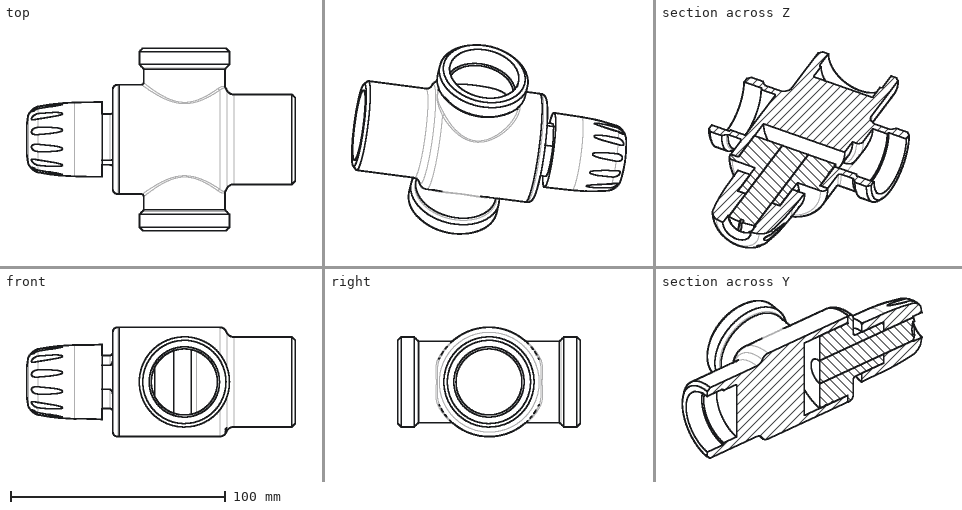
import cadquery as cq
import math


overall_length = 125.0

barrel_radius = 25.5
barrel_start_x = -30.4
shoulder_start_x = 16.4
shoulder_end_x = 22.9
pipe_radius = 21.0
pipe_chamfer = 1.6
outlet_end_x = 51.6

inlet_end_y = 42.5
inlet_neck_radius = 19.0
collar_inner_y = 34.9
collar_cone_y = 33.4
collar_root_y = 32.6
inlet_root_fillet = 0.94

socket_radius = 16.4
socket_depth = 9.1
passage_radius = 15.4
socket_step_depth = 0.4
chamber_radius = 21.2
chamber_end_x = -4.9
window_end_x = 3.1
window_round = 2.4

bonnet_face_x = -33.4
bonnet_round = 2.4
spigot_end_x = -13.8
neck_radius = 12.4
neck_root_fillet = 1.4
neck_end_x = -51.1
neck_flat_distance = 11.0
neck_flat_tilt = 11.0

knob_front_x = outlet_end_x - overall_length
knob_rear_x = -38.2
knob_radius = 17.5
knob_hole_radius = 7.2
knob_face_radius = 11.1
knob_face_x = -72.8
nose_mid_x = -71.0
nose_mid_radius = 13.6
nose_end_x = -68.1
nose_end_radius = 15.4
flank_mid_x = -60.0
flank_mid_radius = 16.6
flank_end_x = -51.1
flank_end_radius = 17.2

flute_count = 12
flute_radius = 2.0
flute_nose_x = -71.1
flute_nose_radius = 13.5
flute_tip_x = -55.9
flute_tip_radius = 17.1

spindle_radius = 6.6
spindle_rim_x = -68.6
spindle_dome = 0.6
rim_gap_depth = 0.6
slot_width = 1.4
slot_depth = 1.6
slot_disc_radius = 17.5
slot_tilt = 9.5


def x_cylinder(radius, start_x, end_x):
    """Cylinder on the main axis."""
    return cq.Workplane("YZ", origin=(start_x, 0, 0)).circle(radius).extrude(end_x - start_x)


def revolve_about_x(profile):
    """Revolve a closed (x, radius) profile about the main axis."""
    return profile.close().revolve(360, (0, 0, 0), (1, 0, 0))


def revolve_about_y(profile):
    """Revolve a closed (radius, y) profile about the inlet axis."""
    return profile.close().revolve(360, (0, 0, 0), (0, 1, 0))


def make_barrel():
    """Barrel, S-shaped shoulder and outlet pipe in one turned shape."""
    shoulder_mid_x = (shoulder_start_x + shoulder_end_x) / 2
    shoulder_mid_radius = (barrel_radius + pipe_radius) / 2
    return revolve_about_x(
        cq.Workplane("XY")
        .moveTo(barrel_start_x, 0)
        .lineTo(barrel_start_x, barrel_radius)
        .lineTo(shoulder_start_x, barrel_radius)
        .tangentArcPoint((shoulder_mid_x, shoulder_mid_radius), relative=False)
        .tangentArcPoint((shoulder_end_x, pipe_radius), relative=False)
        .lineTo(outlet_end_x - pipe_chamfer, pipe_radius)
        .lineTo(outlet_end_x, pipe_radius - pipe_chamfer)
        .lineTo(outlet_end_x, 0)
    )


def make_inlet():
    """Solid +Y inlet branch with its chamfered collar."""
    cone_radius = pipe_radius - (collar_inner_y - collar_cone_y)
    return revolve_about_y(
        cq.Workplane("XY")
        .lineTo(0, inlet_end_y)
        .lineTo(pipe_radius - pipe_chamfer, inlet_end_y)
        .lineTo(pipe_radius, inlet_end_y - pipe_chamfer)
        .lineTo(pipe_radius, collar_inner_y)
        .lineTo(cone_radius, collar_cone_y)
        .tangentArcPoint((inlet_neck_radius, collar_root_y), relative=False)
        .lineTo(inlet_neck_radius, 0)
    )


def make_socket(bottom_y):
    """Cutter for a +Y inlet: wide socket, short cone, narrower passage."""
    step_y = inlet_end_y - socket_depth
    return revolve_about_y(
        cq.Workplane("XY")
        .moveTo(0, bottom_y)
        .lineTo(passage_radius, bottom_y)
        .lineTo(passage_radius, step_y - socket_step_depth)
        .lineTo(socket_radius, step_y)
        .lineTo(socket_radius, inlet_end_y)
        .lineTo(0, inlet_end_y)
    )


def make_inlet_sockets():
    """Both inlet sockets; each ends on the cylinder of the barrel."""
    core = x_cylinder(barrel_radius, barrel_start_x, outlet_end_x)
    hot_socket = make_socket(0).cut(core)
    return hot_socket, hot_socket.mirror("XZ")


def make_outlet_socket():
    """Outlet socket, as deep as the inlet sockets are on their axis."""
    socket = make_socket(barrel_radius)
    return socket.rotate((0, 0, 0), (0, 0, 1), -90).translate((outlet_end_x - inlet_end_y, 0, 0))


def make_window():
    """Opening from the -Y inlet down to the chamber, rounded on its +X edge."""
    passage = cq.Workplane("XZ").circle(passage_radius).extrude(barrel_radius)
    round_end_x = window_end_x + window_round
    ring = revolve_about_x(
        cq.Workplane("XY")
        .moveTo(-socket_radius, chamber_radius)
        .lineTo(window_end_x, chamber_radius)
        .lineTo(window_end_x, barrel_radius - window_round)
        .tangentArcPoint((round_end_x, barrel_radius), relative=False)
        .lineTo(-socket_radius, barrel_radius)
    )
    return passage.intersect(ring)


def make_housing():
    inlet = make_inlet()
    inlets = inlet.union(inlet.mirror("XZ"))
    housing = make_barrel().union(inlets)
    root_box = cq.selectors.BoxSelector(
        (-pipe_radius, -barrel_radius, -pipe_radius),
        (pipe_radius, barrel_radius, pipe_radius),
        boundingbox=True,
    )
    housing = housing.edges(root_box).fillet(inlet_root_fillet)

    for socket in make_inlet_sockets():
        housing = housing.cut(socket)
    housing = housing.cut(make_outlet_socket())
    housing = housing.cut(x_cylinder(chamber_radius, barrel_start_x, chamber_end_x))
    return housing.cut(make_window())


def make_bonnet_blank():
    """Spigot, flange and neck of the bonnet, with the two wrench flats."""
    blank = revolve_about_x(
        cq.Workplane("XY")
        .moveTo(neck_end_x, 0)
        .lineTo(neck_end_x, neck_radius)
        .lineTo(bonnet_face_x - neck_root_fillet, neck_radius)
        .tangentArcPoint((bonnet_face_x, neck_radius + neck_root_fillet), relative=False)
        .lineTo(bonnet_face_x, barrel_radius - bonnet_round)
        .tangentArcPoint((bonnet_face_x + bonnet_round, barrel_radius), relative=False)
        .lineTo(barrel_start_x, barrel_radius)
        .lineTo(barrel_start_x, chamber_radius)
        .lineTo(spigot_end_x, chamber_radius)
        .lineTo(spigot_end_x, 0)
    )
    neck_length = bonnet_face_x - neck_end_x
    for side in (-1, 1):
        flat_cut = (
            cq.Workplane("XY")
            .box(neck_length, neck_radius, 2 * barrel_radius, centered=(False, True, True))
            .translate((neck_end_x, side * (neck_flat_distance + neck_radius / 2), 0))
            .rotate((0, 0, 0), (1, 0, 0), -neck_flat_tilt)
        )
        blank = blank.cut(flat_cut)
    return blank


def make_bonnet():
    return make_bonnet_blank().cut(x_cylinder(spindle_radius, neck_end_x, spigot_end_x))


def make_flute():
    """Cutter for one grip flute on the +Z side: a cylinder that rises out of the flank."""
    run = flute_tip_x - flute_nose_x
    rise = flute_tip_radius - flute_nose_radius
    rise_angle = math.degrees(math.atan2(rise, run))
    floor_length = math.hypot(run, rise)
    return (
        cq.Workplane("YZ", origin=(-floor_length, 0, flute_radius))
        .circle(flute_radius)
        .extrude(3 * floor_length)
        .rotate((0, 0, 0), (0, 1, 0), -rise_angle)
        .translate((flute_nose_x, 0, flute_nose_radius))
    )


def make_knob():
    knob = revolve_about_x(
        cq.Workplane("XY")
        .moveTo(knob_front_x, 0)
        .lineTo(knob_front_x, knob_hole_radius)
        .lineTo(knob_face_x, knob_face_radius)
        .threePointArc((nose_mid_x, nose_mid_radius), (nose_end_x, nose_end_radius))
        .threePointArc((flank_mid_x, flank_mid_radius), (flank_end_x, flank_end_radius))
        .lineTo(knob_rear_x, knob_radius)
        .lineTo(knob_rear_x, 0)
    )
    flute = make_flute()
    pitch_angle = 360 / flute_count
    for index in range(flute_count):
        knob = knob.cut(flute.rotate((0, 0, 0), (1, 0, 0), (index + 0.5) * pitch_angle))
    knob = knob.cut(x_cylinder(knob_hole_radius, knob_front_x, spindle_rim_x + rim_gap_depth))
    knob = knob.cut(x_cylinder(spindle_radius, knob_front_x, neck_end_x))
    return knob.cut(make_bonnet_blank())


def make_spindle():
    """Domed adjusting spindle with a screwdriver slot."""
    dome_x = spindle_rim_x - spindle_dome
    dome_sphere_radius = (spindle_radius ** 2 + spindle_dome ** 2) / (2 * spindle_dome)
    half_angle = math.asin(spindle_radius / dome_sphere_radius) / 2
    dome_mid_x = dome_x + dome_sphere_radius * (1 - math.cos(half_angle))
    dome_mid_radius = dome_sphere_radius * math.sin(half_angle)
    spindle = revolve_about_x(
        cq.Workplane("XY")
        .moveTo(dome_x, 0)
        .threePointArc((dome_mid_x, dome_mid_radius), (spindle_rim_x, spindle_radius))
        .lineTo(spigot_end_x, spindle_radius)
        .lineTo(spigot_end_x, 0)
    )
    slot = (
        cq.Workplane("XZ", origin=(dome_x + slot_depth - slot_disc_radius, 0, 0))
        .circle(slot_disc_radius)
        .extrude(slot_width / 2, both=True)
        .rotate((0, 0, 0), (1, 0, 0), slot_tilt)
    )
    return spindle.cut(slot)


housing = make_housing()
bonnet = make_bonnet()
knob = make_knob()
spindle = make_spindle()

bodies = [housing, bonnet, knob, spindle]
result = cq.Compound.makeCompound([body.solids().val() for body in bodies])